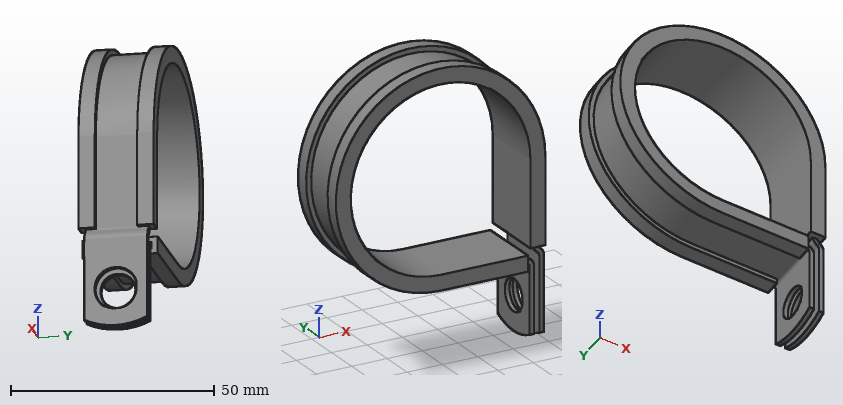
import cadquery as cq
import math

inner_radius = 25.4
cushion_width = 18.92
outer_radius = 29.66
groove_width = 10.68
groove_depth = 1.42
upright_leg_end = 23.6
level_leg_end = 24.75

strap_width = 15.875
strap_thickness = 1.3
strap_outer_radius = outer_radius - groove_depth
strap_inner_radius = strap_outer_radius - strap_thickness
bend_inner_radius = 0.9
bend_outer_radius = bend_inner_radius + strap_thickness
jog_angle = math.radians(45)

outer_tab_face = 30.05
inner_tab_face = 26.0
tab_bottom = -49.14
tab_tip_sagitta = 1.8
inner_hole_diameter = 8.75
outer_hole_diameter = 10.6
hole_z = -39.55


def p_profile(r_in, r_out):
    """Three-quarter ring with straight legs running down (+X side) and to +X (bottom)."""
    middle = -math.sqrt(0.5)
    return (
        cq.Workplane("XZ")
        .moveTo(r_out, -upright_leg_end)
        .lineTo(r_out, 0)
        .threePointArc((middle * r_out, -middle * r_out), (-r_out, 0))
        .threePointArc((middle * r_out, middle * r_out), (0, -r_out))
        .lineTo(level_leg_end, -r_out)
        .lineTo(level_leg_end, -r_in)
        .lineTo(0, -r_in)
        .threePointArc((middle * r_in, middle * r_in), (-r_in, 0))
        .threePointArc((middle * r_in, -middle * r_in), (r_in, 0))
        .lineTo(r_in, -upright_leg_end)
        .close()
    )


def cushion():
    body = p_profile(inner_radius, outer_radius).extrude(cushion_width / 2, both=True)
    groove = p_profile(strap_outer_radius, outer_radius).extrude(groove_width / 2, both=True)
    return body.cut(groove)


def arc_point(center, radius, angle):
    return (center[0] + radius * math.cos(angle), center[1] + radius * math.sin(angle))


def inner_tab():
    """Strap end leaving the bottom leg, bent 90 degrees down."""
    center = (inner_tab_face - bend_inner_radius, -strap_outer_radius - bend_inner_radius)
    outer_face = inner_tab_face + strap_thickness
    half_bend = math.radians(45)
    return (
        cq.Workplane("XZ")
        .moveTo(level_leg_end, -strap_inner_radius)
        .lineTo(center[0], -strap_inner_radius)
        .threePointArc(arc_point(center, bend_outer_radius, half_bend), (outer_face, center[1]))
        .lineTo(outer_face, tab_bottom)
        .lineTo(inner_tab_face, tab_bottom)
        .lineTo(inner_tab_face, center[1])
        .threePointArc(arc_point(center, bend_inner_radius, half_bend), (center[0], -strap_outer_radius))
        .lineTo(level_leg_end, -strap_outer_radius)
        .close()
        .extrude(strap_width / 2, both=True)
    )


def outer_tab():
    """Strap end leaving the upright leg, jogged outward and continuing down."""
    offset = outer_tab_face - strap_outer_radius
    bend_sum = bend_inner_radius + bend_outer_radius
    slope_length = (offset - bend_sum * (1 - math.cos(jog_angle))) / math.sin(jog_angle)
    jog_height = bend_sum * math.sin(jog_angle) + slope_length * math.cos(jog_angle)
    jog_bottom = -upright_leg_end - jog_height
    inner_face = outer_tab_face - strap_thickness

    upper = (strap_outer_radius + bend_inner_radius, -upright_leg_end)
    lower = (inner_face - bend_inner_radius, jog_bottom)
    upper_mid = math.pi + jog_angle / 2
    upper_end = math.pi + jog_angle
    lower_start = jog_angle
    lower_mid = jog_angle / 2
    return (
        cq.Workplane("XZ")
        .moveTo(strap_outer_radius, upper[1])
        .threePointArc(
            arc_point(upper, bend_inner_radius, upper_mid),
            arc_point(upper, bend_inner_radius, upper_end),
        )
        .lineTo(*arc_point(lower, bend_outer_radius, lower_start))
        .threePointArc(arc_point(lower, bend_outer_radius, lower_mid), (outer_tab_face, lower[1]))
        .lineTo(outer_tab_face, tab_bottom)
        .lineTo(inner_face, tab_bottom)
        .lineTo(inner_face, lower[1])
        .threePointArc(
            arc_point(lower, bend_inner_radius, lower_mid),
            arc_point(lower, bend_inner_radius, lower_start),
        )
        .lineTo(*arc_point(upper, bend_outer_radius, upper_end))
        .threePointArc(arc_point(upper, bend_outer_radius, upper_mid), (strap_inner_radius, upper[1]))
        .close()
        .extrude(strap_width / 2, both=True)
    )


def tab_outline(hole_diameter):
    """Rounded-tip silhouette along X, with a bolt hole, used to trim a tab."""
    half_width = strap_width / 2
    corner_z = tab_bottom + tab_tip_sagitta
    return (
        cq.Workplane("YZ")
        .moveTo(-half_width, 0)
        .lineTo(-half_width, corner_z)
        .threePointArc((0, tab_bottom), (half_width, corner_z))
        .lineTo(half_width, 0)
        .close()
        .moveTo(0, hole_z)
        .circle(hole_diameter / 2)
        .extrude(outer_tab_face)
    )


inner_tab_trimmed = inner_tab().intersect(tab_outline(inner_hole_diameter))
outer_tab_trimmed = outer_tab().intersect(tab_outline(outer_hole_diameter))
result = cushion().union(inner_tab_trimmed).union(outer_tab_trimmed)